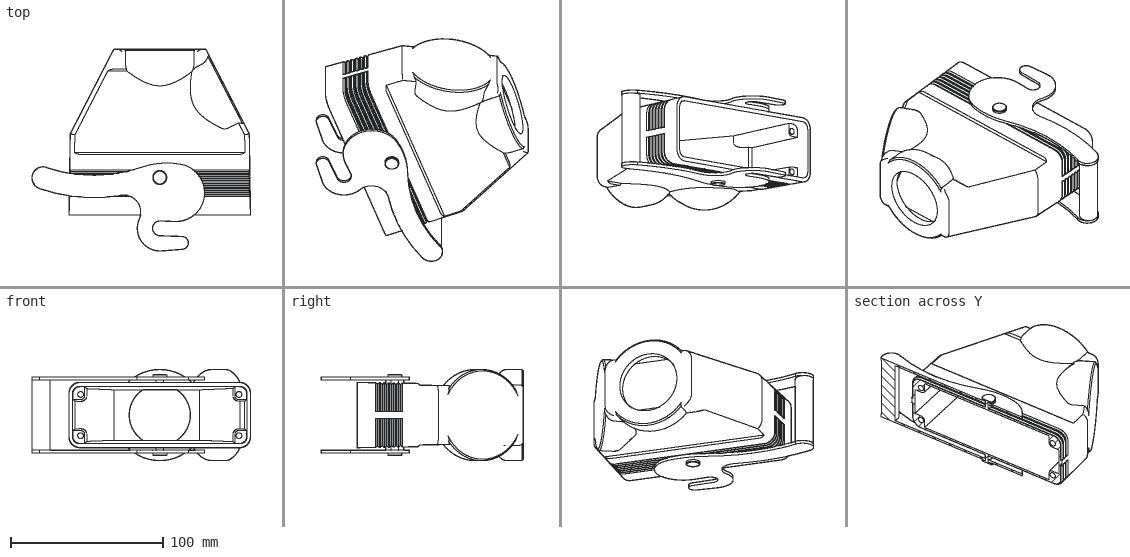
import cadquery as cq
import math


HOOD_TOP = 109.15
KNEE_Y = 53.4
MOUTH_HALF_X = 59.65
KNEE_HALF_X = 58.9
TOP_HALF_X = 30.2
MOUTH_HALF_Z = 21.5
TOP_HALF_Z = 19.8
CORNER_RADIUS = 7.0
TOP_ROUNDING = 2.4

RECESS_START_Y = 39.9
RECESS_END_Y = 96.15
RECESS_RAMP = 1.4
RECESS_START_HALF_Z = 19.7
RECESS_END_HALF_Z = 18.85

GROOVE_COUNT = 6
GROOVE_FIRST_Y = 13.4
GROOVE_PITCH = 3.04
GROOVE_WIDTH = 2.4
GROOVE_FLOOR_WIDTH = 0.4
GROOVE_DEPTH = 0.9
GROOVE_GAP = 4.4

ENTRY_RADIUS = 30.0
ENTRY_LENGTH = 10.8
ENTRY_SHOULDER_RADIUS = 5.8
ENTRY_RIM_CHAMFER = 1.0
ENTRY_BORE_RADIUS = 20.0
SLOPE_ENTRY_SHIFT = 1.3

CAVITY_TOP = 103.8
CAVITY_MOUTH_HALF_X = 57.3
CAVITY_KNEE_HALF_X = 55.75
CAVITY_MOUTH_HALF_Z = 18.8
CAVITY_TOP_HALF_Z = 16.55
CAVITY_CORNER_RADIUS = 4.5
LEDGE_Y = 52.3
LEDGE_WIDTH = 2.9
THICK_SLOPE_SHIFT = 4.0

SCREW_X = 52.0
SCREW_Z = 13.55
SCREW_HOLE_DIAMETER = 3.8
SCREW_HOLE_DEPTH = 20.0
POST_FRONT_Y = 9.5
POST_LENGTH = 62.0
POST_INNER_X = 49.3
POST_INNER_Z = 10.2
POST_CORNER_RADIUS = 2.5
POST_DRAFT = 1.4

PIVOT_Y = 24.75
PIVOT_DIAMETER = 5.0
PIVOT_HEAD_DIAMETER = 9.2
PIVOT_HEAD_HEIGHT = 1.6
PIVOT_HEAD_CHAMFER = 0.4

PLATE_INNER_Z = 23.0
PLATE_THICKNESS = 2.0
PLATE_OUTER_Z = PLATE_INNER_Z + PLATE_THICKNESS

HANDLE_END_X = -83.97
HANDLE_WIDTH = 14.7
HANDLE_TIP_Y = 24.5
HANDLE_BAR_DIAMETER = 12.0
HANDLE_BAR_Y = 24.75

LOBE_CENTRE = (10.5, 14.75)
LOBE_RADIUS = 19.0
CROWN_X = 4.6
CROWN_RADIUS = 50.0
NECK_X = -43.4
NECK_RADIUS = 96.0
THROAT_X = -23.5
THROAT_RADIUS = 11.0
HOOK_CENTRE = (0.15, -8.6)
HOOK_SLOT_RADIUS = 4.8
HOOK_TIP_CENTRE = (14.5, -18.2)
HOOK_TIP_RADIUS = 4.3


def interpolate(start, end, fraction):
    return start + (end - start) * fraction


def outer_half_x(y):
    """Half width of the hood along X, between the mouth and the knee."""
    return interpolate(MOUTH_HALF_X, KNEE_HALF_X, y / KNEE_Y)


def outer_half_z(y):
    """Half thickness of the hood along Z."""
    return interpolate(MOUTH_HALF_Z, TOP_HALF_Z, y / HOOD_TOP)


def drafted_slab(mouth_half_z, top_half_z, top_y):
    """Slab whose two broad faces lean in from Y = 0 to top_y, wider than the hood."""
    profile = [
        (0, -mouth_half_z), (top_y, -top_half_z), (top_y, top_half_z), (0, mouth_half_z),
    ]
    return cq.Workplane("YZ").polyline(profile).close().extrude(MOUTH_HALF_X + 1, both=True)


def drafted_prism(outline, mouth_half_z, top_half_z, top_y):
    """Prism over an XY outline, with its broad faces leaning in from Y = 0 to top_y."""
    prism = cq.Workplane("XY").polyline(outline).close().extrude(mouth_half_z + 1, both=True)
    return prism.intersect(drafted_slab(mouth_half_z, top_half_z, top_y))


def hood_envelope():
    outline = [
        (-MOUTH_HALF_X, 0),
        (MOUTH_HALF_X, 0),
        (KNEE_HALF_X, KNEE_Y),
        (TOP_HALF_X, HOOD_TOP),
        (-TOP_HALF_X, HOOD_TOP),
        (-KNEE_HALF_X, KNEE_Y),
    ]
    body = drafted_prism(outline, MOUTH_HALF_Z, TOP_HALF_Z, HOOD_TOP)
    long_edges = body.edges("not(|Z)").edges("not(<Y or >Y)")
    body = long_edges.fillet(CORNER_RADIUS)
    side_profile = drafted_slab(MOUTH_HALF_Z, TOP_HALF_Z, HOOD_TOP)
    return body.intersect(side_profile.edges("|X and >Y").fillet(TOP_ROUNDING))


def recess_cutter():
    clear_z = MOUTH_HALF_Z + 1
    profile = [
        (RECESS_START_Y, clear_z),
        (RECESS_START_Y, outer_half_z(RECESS_START_Y)),
        (RECESS_START_Y + RECESS_RAMP, RECESS_START_HALF_Z),
        (RECESS_END_Y - RECESS_RAMP, RECESS_END_HALF_Z),
        (RECESS_END_Y, outer_half_z(RECESS_END_Y)),
        (RECESS_END_Y, clear_z),
    ]
    upper = cq.Workplane("YZ").polyline(profile).close().extrude(MOUTH_HALF_X + 1, both=True)
    return upper.union(upper.mirror("XY"))


def groove_cutter(y):
    """V groove with a narrow floor, running around the hood at height y."""
    flank_width = (GROOVE_WIDTH - GROOVE_FLOOR_WIDTH) / 2
    flank_angle = math.degrees(math.atan(GROOVE_DEPTH / flank_width))
    half_x = outer_half_x(y)
    half_z = outer_half_z(y)
    clear_x = 2 * half_x + 2
    clear_z = 2 * half_z + 2
    outer_section = cq.Sketch().rect(2 * half_x, 2 * half_z).vertices().fillet(CORNER_RADIUS)
    floor_section = (
        cq.Sketch()
        .rect(2 * (half_x - GROOVE_DEPTH), 2 * (half_z - GROOVE_DEPTH))
        .vertices()
        .fillet(CORNER_RADIUS - GROOVE_DEPTH)
    )
    floor_core = (
        cq.Workplane("XZ", origin=(0, y, 0))
        .placeSketch(floor_section)
        .extrude(GROOVE_WIDTH / 2, both=True)
    )
    cutter = cq.Workplane("XY").box(clear_x, GROOVE_WIDTH, clear_z).translate((0, y, 0))
    cutter = cutter.cut(floor_core)
    for side in (-1, 1):
        flank_core = (
            cq.Workplane("XZ", origin=(0, y + side * GROOVE_WIDTH / 2, 0))
            .placeSketch(outer_section)
            .extrude(side * flank_width, taper=flank_angle)
        )
        cutter = cutter.cut(flank_core)
    gap = cq.Workplane("XY").box(clear_x, GROOVE_WIDTH, GROOVE_GAP).translate((0, y, 0))
    return cutter.cut(gap)


def entry_boss():
    """Round cable entry about the Y axis, rim at Y = 0, body toward -Y."""
    shoulder = ENTRY_SHOULDER_RADIUS
    turned = shoulder * math.sin(math.pi / 4)
    mid = shoulder * math.sin(math.pi / 8)
    drop = shoulder * (1 - math.cos(math.pi / 4))
    mid_drop = shoulder * (1 - math.cos(math.pi / 8))
    cone_radius = ENTRY_RADIUS - drop
    cone_y = -ENTRY_LENGTH - turned
    return (
        cq.Workplane("XY")
        .moveTo(0, 0)
        .lineTo(ENTRY_RADIUS - ENTRY_RIM_CHAMFER, 0)
        .lineTo(ENTRY_RADIUS, -ENTRY_RIM_CHAMFER)
        .lineTo(ENTRY_RADIUS, -ENTRY_LENGTH)
        .threePointArc((ENTRY_RADIUS - mid_drop, -ENTRY_LENGTH - mid), (cone_radius, cone_y))
        .lineTo(0, cone_y - cone_radius)
        .close()
        .revolve(360, (0, 0, 0), (0, 1, 0))
    )


def top_entry():
    return entry_boss().translate((0, HOOD_TOP, 0))


def slope_entry():
    run = KNEE_HALF_X - TOP_HALF_X
    rise = HOOD_TOP - KNEE_Y
    tilt = math.degrees(math.atan2(rise, run))
    fraction = 0.5 + SLOPE_ENTRY_SHIFT / math.hypot(run, rise)
    middle = (
        interpolate(KNEE_HALF_X, TOP_HALF_X, fraction),
        interpolate(KNEE_Y, HOOD_TOP, fraction),
        0,
    )
    return entry_boss().rotate((0, 0, 0), (0, 0, 1), -tilt).translate(middle)


def screw_post(side_x, side_z):
    """Drafted post in one corner of the cavity, overlapping the walls around it."""
    size_x = 2 * (MOUTH_HALF_X - POST_INNER_X)
    size_z = 2 * (MOUTH_HALF_Z - POST_INNER_Z)
    section = cq.Sketch().rect(size_x, size_z).vertices().fillet(POST_CORNER_RADIUS)
    return (
        cq.Workplane("XZ", origin=(side_x * MOUTH_HALF_X, POST_FRONT_Y, side_z * MOUTH_HALF_Z))
        .placeSketch(section)
        .extrude(-POST_LENGTH, taper=-POST_DRAFT)
    )


def screw_hole(side_x, side_z):
    return (
        cq.Workplane("XZ", origin=(side_x * SCREW_X, POST_FRONT_Y, side_z * SCREW_Z))
        .circle(SCREW_HOLE_DIAMETER / 2)
        .extrude(-SCREW_HOLE_DEPTH)
    )


def cavity():
    thick_top_x = TOP_HALF_X - THICK_SLOPE_SHIFT
    outline = [
        (-CAVITY_MOUTH_HALF_X, 0),
        (CAVITY_MOUTH_HALF_X, 0),
        (CAVITY_KNEE_HALF_X, LEDGE_Y),
        (CAVITY_KNEE_HALF_X - LEDGE_WIDTH, LEDGE_Y),
        (thick_top_x, CAVITY_TOP),
        (-TOP_HALF_X, CAVITY_TOP),
        (-CAVITY_KNEE_HALF_X, KNEE_Y),
    ]
    space = drafted_prism(outline, CAVITY_MOUTH_HALF_Z, CAVITY_TOP_HALF_Z, CAVITY_TOP)
    wall_edges = cq.selectors.BoxSelector(
        (-MOUTH_HALF_X, 1, -MOUTH_HALF_Z), (MOUTH_HALF_X, LEDGE_Y - 1, MOUTH_HALF_Z)
    )
    side_edges = space.edges("not(|Z or |X)").edges(wall_edges)
    space = side_edges.fillet(CAVITY_CORNER_RADIUS)
    for side_x in (-1, 1):
        for side_z in (-1, 1):
            space = space.cut(screw_post(side_x, side_z))
            space = space.union(screw_hole(side_x, side_z))
    return space


def entry_bore():
    wall = HOOD_TOP - CAVITY_TOP
    return cq.Workplane("XZ", origin=(0, HOOD_TOP, 0)).circle(ENTRY_BORE_RADIUS).extrude(wall)


def pivot_pin():
    """Headed pin standing on the upper broad face."""
    root_z = outer_half_z(PIVOT_Y) - 1
    shank = (
        cq.Workplane("XY", origin=(0, PIVOT_Y, root_z))
        .circle(PIVOT_DIAMETER / 2)
        .extrude(PLATE_OUTER_Z - root_z)
    )
    head = (
        cq.Workplane("XY", origin=(0, PIVOT_Y, PLATE_OUTER_Z))
        .circle(PIVOT_HEAD_DIAMETER / 2)
        .extrude(PIVOT_HEAD_HEIGHT)
        .faces(">Z")
        .chamfer(PIVOT_HEAD_CHAMFER)
    )
    return shank.union(head)


def build_hood():
    hood = hood_envelope().cut(recess_cutter())
    for index in range(GROOVE_COUNT):
        hood = hood.cut(groove_cutter(GROOVE_FIRST_Y + index * GROOVE_PITCH))
    hood = hood.union(top_entry()).union(slope_entry())
    hood = hood.cut(cavity()).cut(entry_bore())
    pin = pivot_pin()
    return hood.union(pin).union(pin.mirror("XY"))


def touching_y(centre, reach, x, direction):
    """Y of a circle centre at x that lies at distance reach from another centre."""
    return centre[1] + direction * math.sqrt(reach**2 - (x - centre[0]) ** 2)


def tangent_points(first, second):
    """Ends of the straight run between two circles given as (centre, signed radius).

    A positive radius is followed counter-clockwise, a negative one clockwise.
    Where the circles touch, both ends are the same point.
    """
    (x1, y1), r1 = first
    (x2, y2), r2 = second
    distance = math.hypot(x2 - x1, y2 - y1)
    lean = math.asin(max(-1.0, min(1.0, (r2 - r1) / distance)))
    heading = math.atan2(y2 - y1, x2 - x1) - lean
    normal_x = -math.sin(heading)
    normal_y = math.cos(heading)
    return (x1 - r1 * normal_x, y1 - r1 * normal_y), (x2 - r2 * normal_x, y2 - r2 * normal_y)


def arc_middle(centre, radius, start, end):
    """Point halfway along an arc, which turns the way the sign of radius says."""
    start_angle = math.atan2(start[1] - centre[1], start[0] - centre[0])
    end_angle = math.atan2(end[1] - centre[1], end[0] - centre[0])
    turn = math.copysign(1, radius)
    sweep = (turn * (end_angle - start_angle)) % (2 * math.pi)
    middle = start_angle + turn * sweep / 2
    return (
        centre[0] + abs(radius) * math.cos(middle),
        centre[1] + abs(radius) * math.sin(middle),
    )


def lever_outline_circles():
    """Circles the lever outline follows, counter-clockwise from the lobe."""
    crown = (CROWN_X, touching_y(LOBE_CENTRE, CROWN_RADIUS - LOBE_RADIUS, CROWN_X, -1))
    neck = (NECK_X, touching_y(crown, CROWN_RADIUS + NECK_RADIUS, NECK_X, 1))
    belly_radius = NECK_RADIUS + HANDLE_WIDTH
    throat = (THROAT_X, touching_y(neck, belly_radius + THROAT_RADIUS, THROAT_X, -1))
    hook_radius = math.dist(throat, HOOK_CENTRE) - THROAT_RADIUS
    tip_radius = HANDLE_WIDTH / 2
    handle_tip = (HANDLE_END_X + tip_radius, HANDLE_TIP_Y)
    return [
        (LOBE_CENTRE, LOBE_RADIUS),
        (crown, CROWN_RADIUS),
        (neck, -NECK_RADIUS),
        (handle_tip, tip_radius),
        (neck, belly_radius),
        (throat, -THROAT_RADIUS),
        (HOOK_CENTRE, hook_radius),
        (HOOK_TIP_CENTRE, HOOK_TIP_RADIUS),
        (HOOK_CENTRE, -HOOK_SLOT_RADIUS),
    ]


def lever_plate():
    """Upper side plate of the lever, with its pivot hole."""
    shortest_line = 0.001
    circles = lever_outline_circles()
    following = circles[1:] + circles[:1]
    runs = [tangent_points(a, b) for a, b in zip(circles, following)]
    start = runs[-1][1]
    outline = cq.Workplane("XY", origin=(0, 0, PLATE_INNER_Z)).moveTo(*start)
    for index, (centre, radius) in enumerate(circles):
        arc_start = runs[index - 1][1]
        line_start, line_end = runs[index]
        outline = outline.threePointArc(arc_middle(centre, radius, arc_start, line_start), line_start)
        if line_end != start and math.dist(line_start, line_end) > shortest_line:
            outline = outline.lineTo(*line_end)
    plate = outline.close().extrude(PLATE_THICKNESS)
    hole = (
        cq.Workplane("XY", origin=(0, PIVOT_Y, PLATE_INNER_Z))
        .circle(PIVOT_DIAMETER / 2)
        .extrude(PLATE_THICKNESS)
    )
    return plate.cut(hole)


def build_lever():
    plate = lever_plate()
    bar = (
        cq.Workplane("XY", origin=(HANDLE_END_X + HANDLE_BAR_DIAMETER / 2, HANDLE_BAR_Y, 0))
        .circle(HANDLE_BAR_DIAMETER / 2)
        .extrude(PLATE_INNER_Z, both=True)
    )
    return bar.union(plate).union(plate.mirror("XY"))


hood = build_hood()
lever = build_lever()

result = cq.Compound.makeCompound([hood.solids().val(), lever.solids().val()])